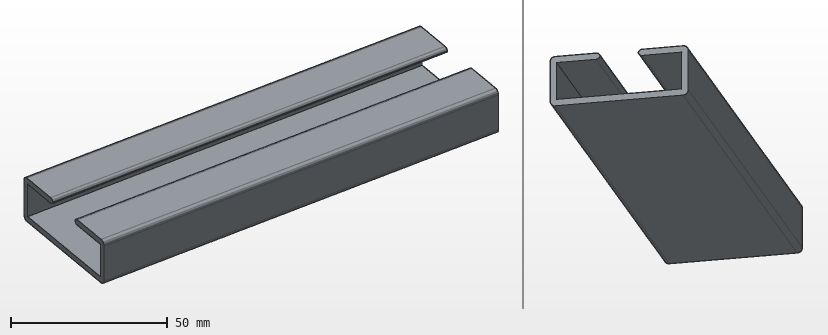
import cadquery as cq
import math

width = 45.4
length = 152.4
height = 16.8

wall = 2.1
outer_radius = 1.7
slot_width = 12.5
lip_edge_radius = 1.4


def make_channel():
    """Rectangular tube with rounded long outer edges and inner corners left sharp."""
    outer = cq.Workplane("XY").box(width, length, height).edges("|Y").fillet(outer_radius)
    cavity = cq.Workplane("XY").box(width - 2 * wall, length, height - 2 * wall)
    return outer.cut(cavity)


def make_slot():
    """Cutter that opens the top wall and leaves each lip with a nose of two arcs."""
    top = height / 2
    middle = top - wall / 2
    bottom = top - wall
    ridge_x = slot_width / 2

    sweep = math.acos(1 - wall / 2 / lip_edge_radius)
    arc_start_x = ridge_x + lip_edge_radius * math.sin(sweep)
    arc_mid_x = arc_start_x - lip_edge_radius * math.sin(sweep / 2)
    arc_mid_drop = lip_edge_radius * (1 - math.cos(sweep / 2))

    return (
        cq.Workplane("XZ")
        .moveTo(-arc_start_x, top)
        .threePointArc((-arc_mid_x, top - arc_mid_drop), (-ridge_x, middle))
        .threePointArc((-arc_mid_x, bottom + arc_mid_drop), (-arc_start_x, bottom))
        .lineTo(arc_start_x, bottom)
        .threePointArc((arc_mid_x, bottom + arc_mid_drop), (ridge_x, middle))
        .threePointArc((arc_mid_x, top - arc_mid_drop), (arc_start_x, top))
        .close()
        .extrude(length / 2, both=True)
    )


result = make_channel().cut(make_slot())